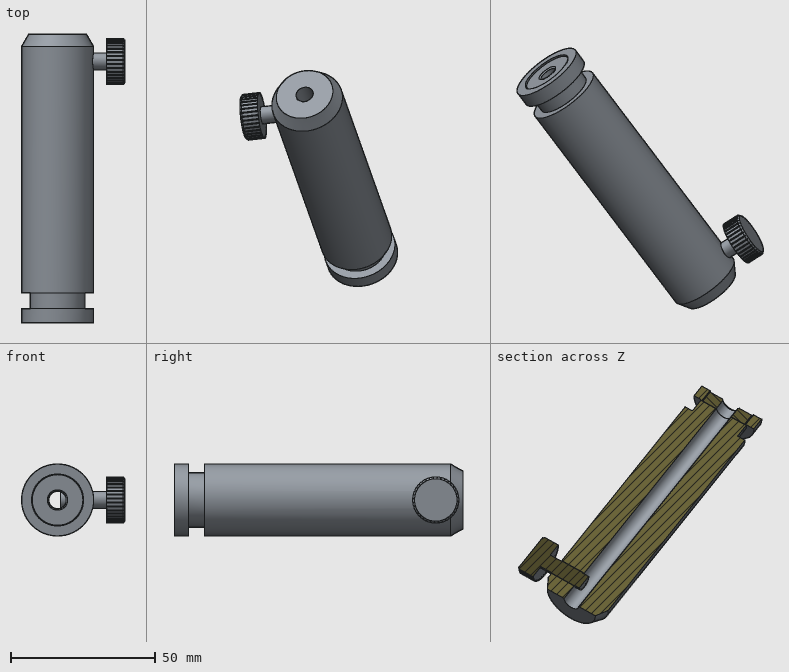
import cadquery as cq
import math

body_length = 100.0
body_radius = 12.5
foot_thickness = 5.0
groove_width = 5.4
groove_radius = 9.5
nose_radius = 10.0
nose_angle = math.radians(30)
nose_length = (body_radius - nose_radius) / math.tan(nose_angle)
bore_radius = 3.0

pocket_radius = 9.0
insert_gap = 0.25
insert_radius = pocket_radius - insert_gap
insert_recess = 0.5
insert_thickness = foot_thickness - insert_recess
insert_hole_chamfer = 0.5

screw_y = body_length - 9.5
shank_radius = 3.0
tip_x = 1.0
head_start_x = 17.0
head_end_x = 23.34
head_radius = 8.0
head_chamfer = 0.65

knurl_count = 36
knurl_width = 0.4
knurl_depth = 0.35
knurl_start_angle = 6.5


def cylinder_along_y(radius, start, length):
    return cq.Workplane("XZ", origin=(0, start, 0)).circle(radius).extrude(-length)


def cylinder_along_x(radius, start, end):
    return cq.Workplane("YZ", origin=(start, screw_y, 0)).circle(radius).extrude(end - start)


def make_body():
    groove_end = foot_thickness + groove_width
    half_profile = [
        (0, 0),
        (body_radius, 0),
        (body_radius, foot_thickness),
        (groove_radius, foot_thickness),
        (groove_radius, groove_end),
        (body_radius, groove_end),
        (body_radius, body_length - nose_length),
        (nose_radius, body_length),
        (0, body_length),
    ]
    bar = cq.Workplane("XY").polyline(half_profile).close().revolve(360, (0, 0), (0, 1))
    bore = cylinder_along_y(bore_radius, 0, body_length)
    insert_pocket = cylinder_along_y(pocket_radius, 0, foot_thickness)
    screw_hole = cylinder_along_x(shank_radius, tip_x, head_start_x)
    return bar.cut(bore).cut(insert_pocket).cut(screw_hole)


def make_insert():
    disc = cylinder_along_y(insert_radius, insert_recess, insert_thickness)
    ring = disc.cut(cylinder_along_y(bore_radius, insert_recess, insert_thickness))
    hole_rim = cq.selectors.RadiusNthSelector(0)
    return ring.faces("<Y").edges(hole_rim).chamfer(insert_hole_chamfer)


def make_knurl_groove(angle):
    overshoot = knurl_depth
    half_width = knurl_width / 2 * (knurl_depth + overshoot) / knurl_depth
    outer = head_radius + overshoot
    groove = (
        cq.Workplane("YZ", origin=(head_start_x, 0, 0))
        .polyline([(-half_width, outer), (half_width, outer), (0, head_radius - knurl_depth)])
        .close()
        .extrude(head_end_x - head_start_x)
    )
    return groove.rotate((0, 0, 0), (1, 0, 0), angle).translate((0, screw_y, 0))


def make_thumbscrew():
    head = cylinder_along_x(head_radius, head_start_x, head_end_x).faces(">X").chamfer(head_chamfer)
    pitch = 360 / knurl_count
    for i in range(knurl_count):
        head = head.cut(make_knurl_groove(knurl_start_angle + i * pitch))
    return head.union(cylinder_along_x(shank_radius, tip_x, head_start_x))


body = make_body()
insert = make_insert()
thumbscrew = make_thumbscrew()

result = cq.Compound.makeCompound([body.solids().val(), insert.solids().val(), thumbscrew.solids().val()])